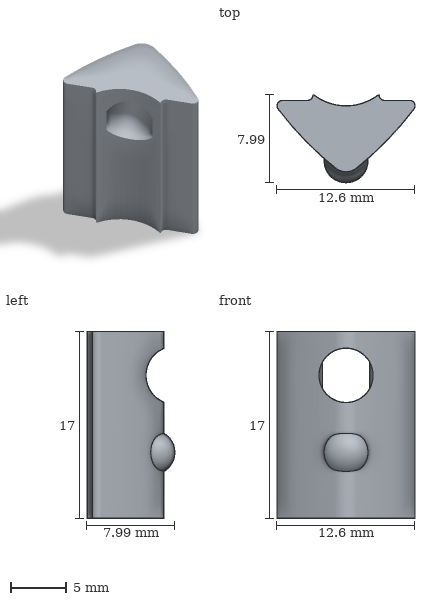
import math

import cadquery as cq

length = 17.0
width = 12.56
nose_depth = 6.5
nose_radius = 1.5
corner_radius = 0.5
flank_radius = 30.0

collar_height = 0.49
collar_half_width = 3.02
collar_fillet = 0.47
groove_radius = 4.8
groove_depth = 0.5

hole_diameter = 4.92
hole_z = length - 4.0

ball_diameter = 4.0
ball_z = 6.0
ball_protrusion = 1.0


def flank_center(nose, corner):
    """Center of the right flank arc that encloses and touches the nose and corner circles."""
    to_nose = flank_radius - nose_radius
    to_corner = flank_radius - corner_radius
    dx = corner[0] - nose[0]
    dy = corner[1] - nose[1]
    span = math.hypot(dx, dy)
    along = (span**2 + to_nose**2 - to_corner**2) / (2 * span)
    across = math.sqrt(to_nose**2 - along**2)
    return (
        nose[0] + (along * dx - across * dy) / span,
        nose[1] + (along * dy + across * dx) / span,
    )


def point_at(center, radius, angle):
    return (center[0] + radius * math.cos(angle), center[1] + radius * math.sin(angle))


def mirrored(point):
    return (-point[0], point[1])


def make_body():
    nose = (0, nose_radius - nose_depth)
    corner = (width / 2 - corner_radius, -corner_radius)
    flank = flank_center(nose, corner)

    nose_angle = math.atan2(nose[1] - flank[1], nose[0] - flank[0])
    corner_angle = math.atan2(corner[1] - flank[1], corner[0] - flank[0])
    flank_start = point_at(flank, flank_radius, nose_angle)
    flank_middle = point_at(flank, flank_radius, (nose_angle + corner_angle) / 2)
    flank_end = point_at(flank, flank_radius, corner_angle)
    corner_middle = point_at(corner, corner_radius, (corner_angle + math.pi / 2) / 2)
    back_end = (corner[0], 0)

    return (
        cq.Workplane("XY")
        .moveTo(*mirrored(flank_start))
        .threePointArc((0, -nose_depth), flank_start)
        .threePointArc(flank_middle, flank_end)
        .threePointArc(corner_middle, back_end)
        .lineTo(*mirrored(back_end))
        .threePointArc(mirrored(corner_middle), mirrored(flank_end))
        .threePointArc(mirrored(flank_middle), mirrored(flank_start))
        .close()
        .extrude(length)
    )


def make_collar():
    """Collar standing on the flat back, with concave fillets at its foot."""
    foot = collar_half_width + collar_fillet
    fillet_middle = point_at((foot, collar_fillet), collar_fillet, math.radians(225))
    side_start = (collar_half_width, collar_fillet)
    return (
        cq.Workplane("XY")
        .moveTo(-foot, 0)
        .lineTo(foot, 0)
        .threePointArc(fillet_middle, side_start)
        .lineTo(collar_half_width, collar_height)
        .lineTo(-collar_half_width, collar_height)
        .lineTo(*mirrored(side_start))
        .threePointArc(mirrored(fillet_middle), (-foot, 0))
        .close()
        .extrude(length)
    )


def make_groove():
    return (
        cq.Workplane("XY")
        .center(0, groove_radius - groove_depth)
        .circle(groove_radius)
        .extrude(length)
    )


def make_hole():
    """Cylinder running from the flat back out past the nose."""
    return (
        cq.Workplane("XZ")
        .center(0, hole_z)
        .circle(hole_diameter / 2)
        .extrude(nose_depth + nose_radius)
    )


def make_ball():
    ball_radius = ball_diameter / 2
    ball_y = ball_radius - nose_depth - ball_protrusion
    return cq.Workplane("XY").sphere(ball_radius).translate((0, ball_y, ball_z))


result = (
    make_body()
    .cut(make_hole())
    .union(make_collar())
    .cut(make_groove())
    .union(make_ball())
)